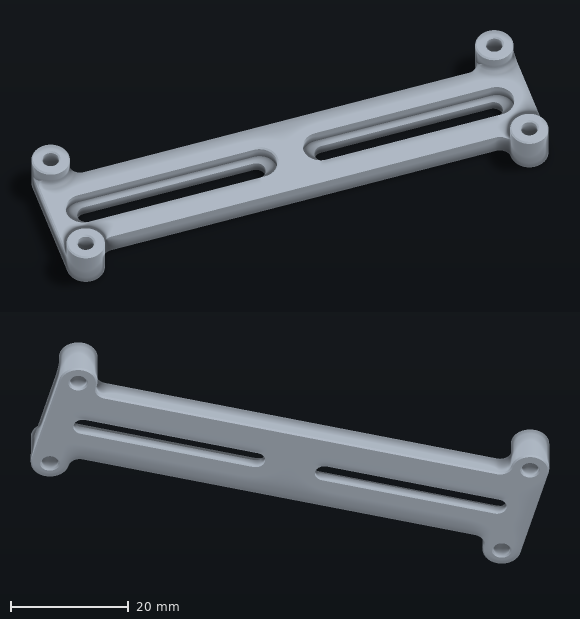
import cadquery as cq
import math

LENGTH = 85.9
PLATE_WIDTH = 14.95
PLATE_HEIGHT = 3.95
BOSS_HEIGHT = 7.0
BOSS_DIAMETER = 6.5
BOSS_SPACING = 19.1
HOLE_DIAMETER = 2.8

EDGE_CHAMFER = 0.3
CORNER_RADIUS = 2.0
BOSS_BASE_RADIUS = 1.0

SLOT_WIDTH = 3.3
SLOT_LENGTH = 33.6
POCKET_WIDTH = 6.0
POCKET_LENGTH = 37.5
POCKET_DEPTH = 2.15
SLOT_CENTER_Y = 21.2

half_width = PLATE_WIDTH / 2
half_length = LENGTH / 2
boss_radius = BOSS_DIAMETER / 2
boss_x = BOSS_SPACING / 2
boss_y = half_length - boss_radius
boss_centers = [(side * boss_x, end * boss_y) for side in (-1, 1) for end in (-1, 1)]

corner_x = half_width + CORNER_RADIUS
corner_y = boss_y - math.sqrt((boss_radius + CORNER_RADIUS) ** 2 - (boss_x - corner_x) ** 2)

chamfer_foot = PLATE_HEIGHT - EDGE_CHAMFER
base_top = PLATE_HEIGHT + BOSS_BASE_RADIUS
slope_rise = base_top - chamfer_foot


def plate_prism(height):
    """Strip with rounded inside corners, its ends reaching out to the boss axes."""
    boss_angle = math.atan2(boss_y - corner_y, boss_x - corner_x)
    middle_angle = (math.pi + boss_angle) / 2

    def corner_arc_point(angle):
        return corner_x + CORNER_RADIUS * math.cos(angle), corner_y + CORNER_RADIUS * math.sin(angle)

    quarter = (
        cq.Workplane("XY")
        .lineTo(half_width, 0)
        .lineTo(half_width, corner_y)
        .threePointArc(corner_arc_point(middle_angle), corner_arc_point(boss_angle))
        .lineTo(boss_x, boss_y)
        .lineTo(boss_x, half_length)
        .lineTo(0, half_length)
        .close()
        .extrude(height)
    )
    half = quarter.union(quarter.mirror("YZ"))
    return half.union(half.mirror("XZ")).clean()


def at_bosses(shape):
    """Copies of a solid of revolution, one on each boss axis."""
    return cq.Workplane("XY").pushPoints(boss_centers).eachpoint(lambda place: shape.val().moved(place))


def make_boss_bases():
    """Concave flares from the plate's top up to the bosses, kept within the plate's outline."""
    flare_radius = boss_radius + BOSS_BASE_RADIUS
    arc_inset = BOSS_BASE_RADIUS * (1 - math.sqrt(0.5))
    flare = (
        cq.Workplane("XZ")
        .lineTo(flare_radius, 0)
        .lineTo(flare_radius, PLATE_HEIGHT)
        .threePointArc((boss_radius + arc_inset, PLATE_HEIGHT + arc_inset), (boss_radius, base_top))
        .lineTo(0, base_top)
        .close()
        .revolve(360, (0, 0, 0), (0, 1, 0))
    )
    return at_bosses(flare).intersect(plate_prism(base_top))


def make_top_chamfers():
    """Cutters for the top chamfers along the -Y end and along the -X side with its two corners."""
    end_wedge = (
        cq.Workplane("YZ", origin=(-boss_x, 0, 0))
        .moveTo(-half_length, chamfer_foot)
        .lineTo(-half_length + slope_rise, base_top)
        .lineTo(-half_length, base_top)
        .close()
        .extrude(BOSS_SPACING)
    )
    side_wedge = (
        cq.Workplane("XZ", origin=(0, corner_y, 0))
        .moveTo(-half_width, chamfer_foot)
        .lineTo(-half_width + slope_rise, base_top)
        .lineTo(-half_width, base_top)
        .close()
        .extrude(2 * corner_y)
    )
    corner_cones = (
        cq.Workplane("XY", origin=(0, 0, chamfer_foot))
        .pushPoints([(-corner_x, -corner_y), (-corner_x, corner_y)])
        .circle(CORNER_RADIUS)
        .extrude(slope_rise, taper=-45)
    )
    return end_wedge.union(side_wedge).union(corner_cones)


def make_bosses():
    """Boss cylinders, each with its seam line turned to -Y, clear of the flare and the corner arc."""
    boss = cq.Workplane("XY").transformed(rotate=(0, 0, -90)).circle(boss_radius).extrude(BOSS_HEIGHT)
    return at_bosses(boss.faces(">Z").chamfer(EDGE_CHAMFER))


def make_boss_holes():
    """Through holes with a chamfered rim at both ends."""
    hole_radius = HOLE_DIAMETER / 2
    rim_radius = hole_radius + EDGE_CHAMFER
    hole = (
        cq.Workplane("XZ")
        .lineTo(rim_radius, 0)
        .lineTo(hole_radius, EDGE_CHAMFER)
        .lineTo(hole_radius, BOSS_HEIGHT - EDGE_CHAMFER)
        .lineTo(rim_radius, BOSS_HEIGHT)
        .lineTo(0, BOSS_HEIGHT)
        .close()
        .revolve(360, (0, 0, 0), (0, 1, 0))
    )
    return at_bosses(hole)


def make_slots():
    centers = [(0, -SLOT_CENTER_Y), (0, SLOT_CENTER_Y)]
    slots = cq.Workplane("XY").pushPoints(centers).slot2D(SLOT_LENGTH, SLOT_WIDTH, 90).extrude(PLATE_HEIGHT)
    floor = cq.Workplane("XY", origin=(0, 0, PLATE_HEIGHT - POCKET_DEPTH))
    pockets = floor.pushPoints(centers).slot2D(POCKET_LENGTH, POCKET_WIDTH, 90).extrude(POCKET_DEPTH)
    return slots.union(pockets)


def make_pocket_chamfer():
    """Sloping rim of the pocket nearer -Y; the other pocket has a sharp rim."""
    return (
        cq.Workplane("XY", origin=(0, -SLOT_CENTER_Y, PLATE_HEIGHT))
        .slot2D(POCKET_LENGTH + 2 * EDGE_CHAMFER, POCKET_WIDTH + 2 * EDGE_CHAMFER, 90)
        .extrude(-EDGE_CHAMFER, taper=45)
    )


result = (
    plate_prism(PLATE_HEIGHT)
    .union(make_boss_bases())
    .cut(make_top_chamfers())
    .union(make_bosses())
    .faces("<Z")
    .chamfer(EDGE_CHAMFER)
    .cut(make_boss_holes())
    .cut(make_slots())
    .cut(make_pocket_chamfer())
)